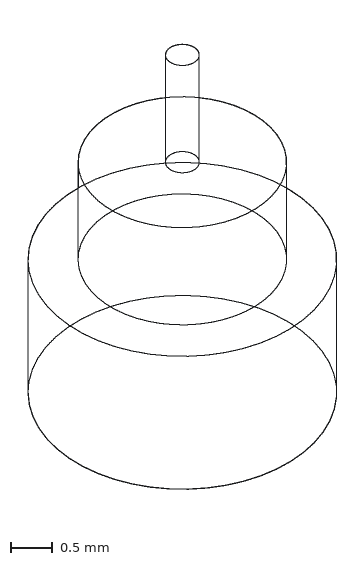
import cadquery as cq

total_height = 5.2

base_diameter = 3.7
base_height = 2.05

collar_diameter = 2.5
collar_height = 1.5

pin_diameter = 0.405
pin_height = total_height - base_height - collar_height


def add_cylinder(body, diameter, height):
    """Stack a concentric cylinder on the top face of the body."""
    return body.faces(">Z").workplane().circle(diameter / 2).extrude(height)


base = cq.Workplane("XY").circle(base_diameter / 2).extrude(base_height)
base_and_collar = add_cylinder(base, collar_diameter, collar_height)
result = add_cylinder(base_and_collar, pin_diameter, pin_height)